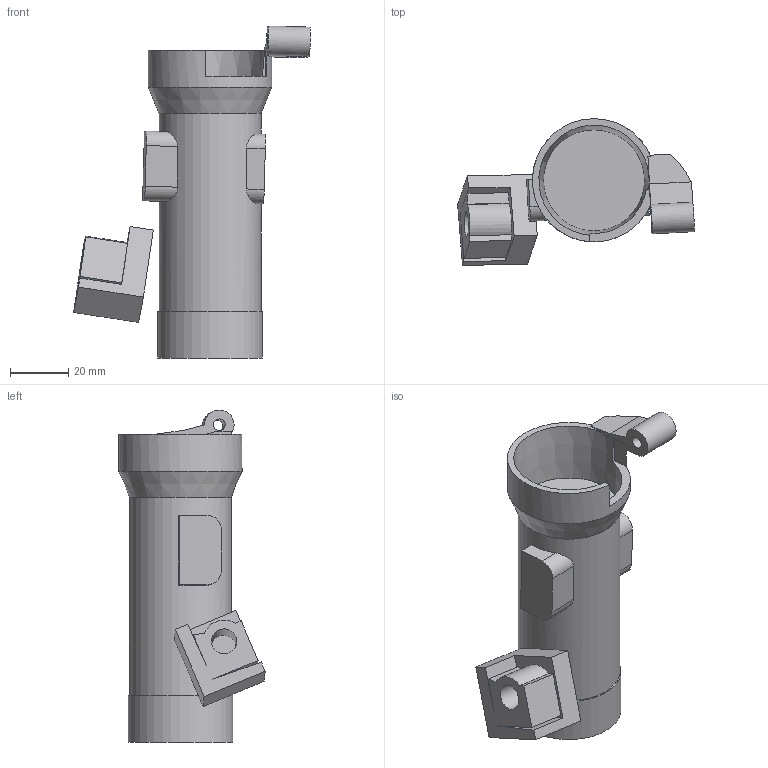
import cadquery as cq

COLLAR_RADIUS = 18.0
COLLAR_HEIGHT = 16.1
BARREL_RADIUS = 17.55
FLARE_BOTTOM = 84.2
FLARE_TOP = 93.2
RIM_RADIUS = 21.2
RIM_TOP = 106.0

CUP_MOUTH_RADIUS = 19.0
CUP_FLOOR_RADIUS = 17.4
CUP_FLOOR = 85.3

NOTCH_FLOOR = 96.9
NOTCH_TOP = 106.9
NOTCH_LEFT = -1.5
NOTCH_BACK = -3.0
NOTCH_FRONT = -25.0
NOTCH_RIGHT_AT_BACK = 19.1
NOTCH_RIGHT_AT_FRONT = 20.4

TILT_ABOUT_Y = 1.5
TILT_ABOUT_Z = 3.0

PAD_LEFT = -22.85
PAD_RIGHT = 18.2
PAD_FRONT = -12.9
PAD_BACK = 1.5
PAD_HEIGHT = 24.0
PAD_MIDDLE = 65.5
PAD_CORNER_RADIUS = 5.0

HINGE_LEFT = 18.95
HINGE_RIGHT = 33.45
KNUCKLE_RADIUS = 5.08
KNUCKLE_Y = -14.4
KNUCKLE_Z = 109.7
PIN_HOLE_RADIUS = 2.0
PLATE_BACK_Y = 7.6
PLATE_BACK_TOP = 106.45
PLATE_BACK_BOTTOM = 104.2
PLATE_CREASE_Y = -2.3
PLATE_CREASE_Z = 107.8
PLATE_ROOT_Y = KNUCKLE_Y + KNUCKLE_RADIUS
PLATE_CORNER_X = 26.9
PLATE_ARC_MIDDLE = (30.8, 2.5)
PLATE_ARC_END_Y = -2.5

BRACKET_WIDTH = 22.8
BRACKET_HEIGHT = 25.3
BRACKET_DEPTH = 22.6
PLATE_THICKNESS = 8.05
RECESS_DEPTH = BRACKET_DEPTH - PLATE_THICKNESS
SIDE_WALL_TOP = 4.6
SIDE_WALL_BOTTOM = 5.0
LOWER_WALL_START = 20.95
LOWER_WALL_END = 21.85

BLOCK_LEFT = 4.9
BLOCK_RIGHT = 22.0
LEDGE_LEFT = 4.1
LEDGE_RIGHT = 6.0
BOSS_ACROSS = 13.8
BOSS_DOWN = 10.3
BOSS_RADIUS = 7.4
BOSS_HOLE_RADIUS = 4.35
LEDGE_STEP_ACROSS = 8.5
LEDGE_STEP_DOWN = 5.05

BRACKET_CORNER = (-43.55, 1.7, 38.75)
BRACKET_TURNS = (-22.75, 8.76, 0.9)


def tilted(shape, height):
    """Lean a feature of the tube about the point on the axis at this height."""
    pivot = cq.Vector(0, 0, height)
    leaned = shape.rotate(pivot, pivot + cq.Vector(0, 1, 0), TILT_ABOUT_Y)
    return leaned.rotate(pivot, pivot + cq.Vector(0, 0, 1), TILT_ABOUT_Z)


def make_shell():
    outline = [
        (0, 0),
        (COLLAR_RADIUS, 0),
        (COLLAR_RADIUS, COLLAR_HEIGHT),
        (BARREL_RADIUS, COLLAR_HEIGHT),
        (BARREL_RADIUS, FLARE_BOTTOM),
        (RIM_RADIUS, FLARE_TOP),
        (RIM_RADIUS, RIM_TOP),
        (0, RIM_TOP),
    ]
    return cq.Workplane("XZ").polyline(outline).close().revolve(360, (0, 0), (0, 1))


def make_cup():
    outline = [
        (0, CUP_FLOOR),
        (CUP_FLOOR_RADIUS, CUP_FLOOR),
        (CUP_MOUTH_RADIUS, RIM_TOP),
        (0, RIM_TOP),
    ]
    return cq.Workplane("XZ").polyline(outline).close().revolve(360, (0, 0), (0, 1))


def make_side_block():
    block = (
        cq.Workplane("XY", origin=(PAD_LEFT, PAD_FRONT, PAD_MIDDLE - PAD_HEIGHT / 2))
        .box(PAD_RIGHT - PAD_LEFT, PAD_BACK - PAD_FRONT, PAD_HEIGHT, centered=False)
        .edges("|X and <Y")
        .fillet(PAD_CORNER_RADIUS)
    )
    return tilted(block, PAD_MIDDLE)


def make_hinge():
    length = HINGE_RIGHT - HINGE_LEFT
    side = cq.Workplane("YZ", origin=(HINGE_LEFT, 0, 0))
    profile = [
        (PLATE_BACK_Y, PLATE_BACK_TOP),
        (PLATE_CREASE_Y, PLATE_CREASE_Z),
        (PLATE_ROOT_Y, KNUCKLE_Z),
        (KNUCKLE_Y, KNUCKLE_Z),
        (KNUCKLE_Y, KNUCKLE_Z - KNUCKLE_RADIUS),
        (PLATE_BACK_Y, PLATE_BACK_BOTTOM),
    ]
    plate = side.polyline(profile).close().extrude(length)
    plan = (
        cq.Workplane("XY", origin=(0, 0, NOTCH_FLOOR))
        .moveTo(HINGE_LEFT, KNUCKLE_Y)
        .lineTo(HINGE_LEFT, PLATE_BACK_Y)
        .lineTo(PLATE_CORNER_X, PLATE_BACK_Y)
        .threePointArc(PLATE_ARC_MIDDLE, (HINGE_RIGHT, PLATE_ARC_END_Y))
        .lineTo(HINGE_RIGHT, KNUCKLE_Y)
        .close()
        .extrude(KNUCKLE_Z + KNUCKLE_RADIUS - NOTCH_FLOOR)
    )
    knuckle_axis = side.center(KNUCKLE_Y, KNUCKLE_Z)
    knuckle = knuckle_axis.circle(KNUCKLE_RADIUS).extrude(length)
    pin_hole = knuckle_axis.circle(PIN_HOLE_RADIUS).extrude(length)
    hinge = plate.intersect(plan).union(knuckle).cut(pin_hole)
    return tilted(hinge, RIM_TOP)


def make_notch():
    outline = [
        (NOTCH_LEFT, NOTCH_FRONT),
        (NOTCH_LEFT, NOTCH_BACK),
        (NOTCH_RIGHT_AT_BACK, NOTCH_BACK),
        (NOTCH_RIGHT_AT_FRONT, NOTCH_FRONT),
    ]
    plane = cq.Workplane("XY", origin=(0, 0, NOTCH_FLOOR))
    return plane.polyline(outline).close().extrude(NOTCH_TOP - NOTCH_FLOOR)


def make_tube():
    shell = make_shell().union(make_side_block()).cut(make_cup())
    return shell.union(make_hinge()).cut(make_notch())


def make_bracket():
    front = cq.Workplane(cq.Plane(origin=(0, 0, 0), xDir=(0, -1, 0), normal=(1, 0, 0)))

    body = front.rect(BRACKET_WIDTH, BRACKET_HEIGHT, centered=False).extrude(BRACKET_DEPTH)
    recess_outline = [
        (SIDE_WALL_TOP, 0),
        (SIDE_WALL_BOTTOM, LOWER_WALL_START),
        (BRACKET_WIDTH, LOWER_WALL_END),
        (BRACKET_WIDTH, 0),
    ]
    recess = front.polyline(recess_outline).close().extrude(RECESS_DEPTH)

    block_outline = [
        (BLOCK_LEFT, LEDGE_LEFT),
        (LEDGE_STEP_ACROSS, LEDGE_STEP_DOWN),
        (BOSS_ACROSS, LEDGE_RIGHT),
        (BLOCK_RIGHT, LEDGE_RIGHT),
        (BLOCK_RIGHT, LOWER_WALL_START),
        (BLOCK_LEFT, LOWER_WALL_START),
    ]
    block = front.polyline(block_outline).close().extrude(RECESS_DEPTH)
    boss_axis = front.center(BOSS_ACROSS, BOSS_DOWN)
    boss = boss_axis.circle(BOSS_RADIUS).extrude(RECESS_DEPTH)
    hole = boss_axis.circle(BOSS_HOLE_RADIUS).extrude(RECESS_DEPTH)

    bracket = body.cut(recess).union(block).union(boss).cut(hole)
    turn_axes = [(1, 0, 0), (0, 1, 0), (0, 0, 1)]
    for axis, angle in zip(turn_axes, BRACKET_TURNS):
        bracket = bracket.rotate((0, 0, 0), axis, angle)
    return bracket.translate(BRACKET_CORNER)


tube = make_tube()
bracket = make_bracket()

result = cq.Compound.makeCompound([*tube.solids().vals(), *bracket.solids().vals()])